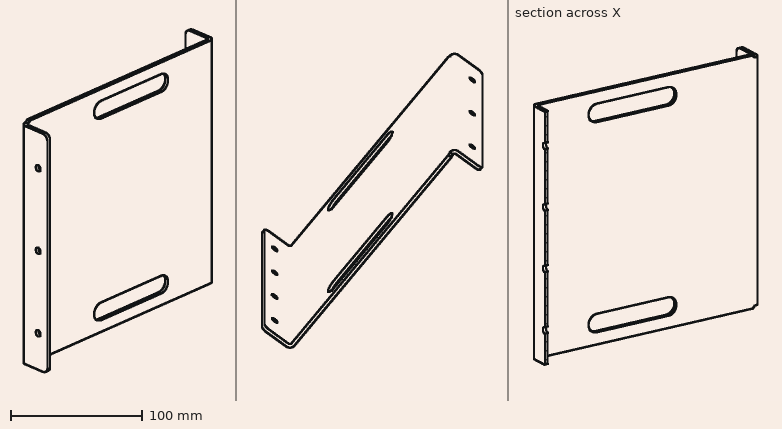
import cadquery as cq

width_x = 53.0
depth_y = 206.0
height_z = 206.0

sheet = 3.0
inner_bend_radius = 1.5
outer_bend_radius = inner_bend_radius + sheet

corner_radius = 5.0
hole_diameter = 5.04
hole_edge_distance = 10.0
rear_hole_count = 4
rear_hole_pitch = 50.0
front_hole_count = 3
front_hole_pitch = 70.0

front_setback = 2.0

slot_length = 80.0
slot_width = 15.0
slot_center_y = 13.0
slot_edge_distance = 10.0

half_x = width_x / 2
half_y = depth_y / 2
half_z = height_z / 2
half_sheet = sheet / 2
front_flange_half_z = half_z - front_setback


def make_bent_sheet():
    """Z profile in the XY plane, rounded at both bends and extruded along Z."""
    outline = [
        (-half_x, half_y),
        (half_sheet, half_y),
        (half_sheet, -half_y + sheet),
        (half_x, -half_y + sheet),
        (half_x, -half_y),
        (-half_sheet, -half_y),
        (-half_sheet, half_y - sheet),
        (-half_x, half_y - sheet),
    ]
    body = cq.Workplane("XY").workplane(offset=-half_z).polyline(outline).close().extrude(height_z)
    outer_corners = [(half_sheet, half_y), (-half_sheet, -half_y)]
    inner_corners = [(half_sheet, -half_y + sheet), (-half_sheet, half_y - sheet)]
    body = round_vertical_edges(body, outer_corners, outer_bend_radius)
    return round_vertical_edges(body, inner_corners, inner_bend_radius)


def round_vertical_edges(body, corners, radius):
    """Fillet the full-height edges standing at the given XY corners."""
    for x, y in corners:
        body = body.edges(cq.selectors.NearestToPointSelector((x, y, 0))).fillet(radius)
    return body


def cut_front_setback(body):
    """Shorten the front flange and its bend at both ends, with a sloped step to the web."""
    setback_y = -half_y + outer_bend_radius
    for side in (1, -1):
        step = (
            cq.Workplane("YZ")
            .workplane(offset=-half_x)
            .moveTo(-half_y, side * half_z)
            .lineTo(setback_y + front_setback, side * half_z)
            .lineTo(setback_y, side * front_flange_half_z)
            .lineTo(-half_y, side * front_flange_half_z)
            .close()
            .extrude(width_x)
        )
        body = body.cut(step)
    return body


def round_flange_corners(body):
    """Round the free corners of both flanges."""
    body = body.faces("<X").edges("|Y").fillet(corner_radius)
    return body.faces(">X").edges("|Y").fillet(corner_radius)


def drill_hole_column(body, x, count, pitch):
    """Drill a vertical column of holes, centered on the height, through the flange at x."""
    holes = (
        cq.Workplane("XZ", origin=(x, half_y, 0))
        .rarray(1, pitch, 1, count)
        .circle(hole_diameter / 2)
        .extrude(depth_y)
    )
    return body.cut(holes)


def cut_hand_slots(body):
    """Cut one slot near the top and one near the bottom of the web."""
    slot_z = half_z - slot_edge_distance - slot_width / 2
    slots = (
        cq.Workplane("YZ")
        .pushPoints([(slot_center_y, slot_z), (slot_center_y, -slot_z)])
        .slot2D(slot_length, slot_width)
        .extrude(sheet, both=True)
    )
    return body.cut(slots)


bracket = make_bent_sheet()
bracket = cut_front_setback(bracket)
bracket = round_flange_corners(bracket)
bracket = drill_hole_column(bracket, -half_x + hole_edge_distance, rear_hole_count, rear_hole_pitch)
bracket = drill_hole_column(bracket, half_x - hole_edge_distance, front_hole_count, front_hole_pitch)
result = cut_hand_slots(bracket)